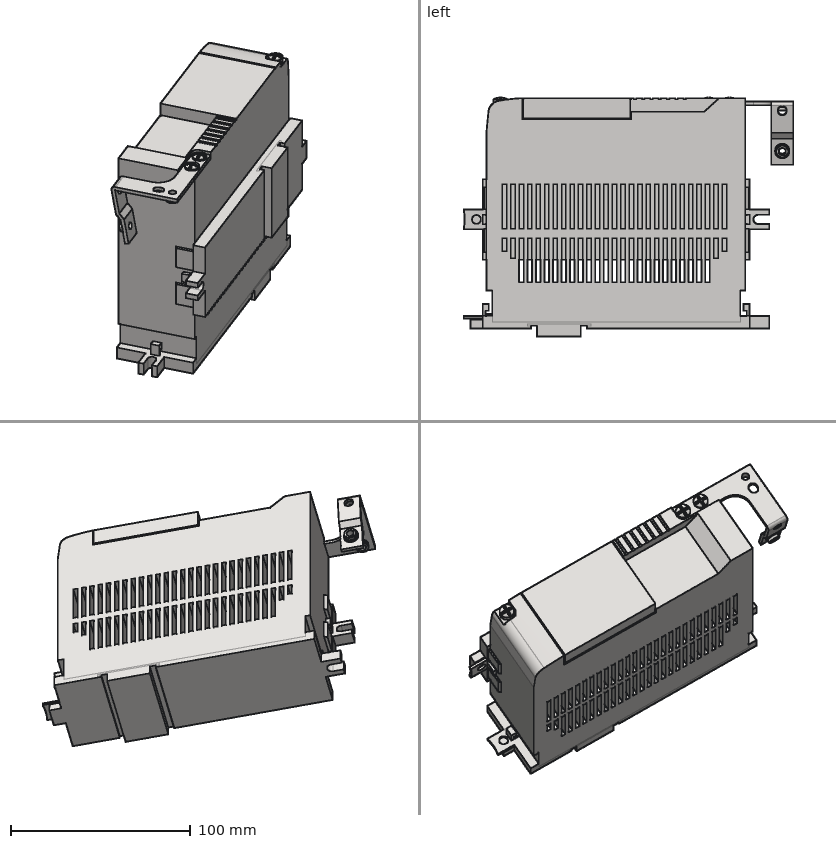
import cadquery as cq
import math


HOUSING_WIDTH = 45.5
HOUSING_TOP = 128.2
HOUSING_BOTTOM = 3.9
BACK_Y = 144.0
FOOT_TOP = 21.0
FOOT_FRONT_Y = 2.8
FOOT_BACK_Y = 140.7
BACK_TAPER_START_Z = 109.1
BACK_TAPER_END = (142.9, 120.3)
BACK_CORNER_MIDDLE = (141.0, 124.5)
CROWN_START = (137.2, 126.5)
CROWN_MIDDLE = (130.5, 127.6)

LID_BACK_Y = 124.0
LID_FRONT_Y = 64.0
LID_BOTTOM = 116.3
LID_GROOVE = 0.5
RECESS_WIDTH = 34.3
RECESS_FLOOR = 120.7
RECESS_FLOOR_FRONT_Y = 22.7
RECESS_RAMP_FRONT_Y = 14.5

GRIP_COUNT = 7
GRIP_WIDTH = 1.3
GRIP_DEPTH = 0.5
GRIP_BACK_Y = 62.0
GRIP_FRONT_Y = 34.3
GRIP_PITCH = (GRIP_BACK_Y - GRIP_FRONT_Y) / (GRIP_COUNT - 1)

VENT_COUNT = 27
VENT_WIDTH = 2.4
VENT_FRONT_Y = 11.5
VENT_BACK_Y = 133.9
VENT_PITCH = (VENT_BACK_Y - VENT_FRONT_Y) / (VENT_COUNT - 1)
UPPER_VENT_TOP = 80.1
UPPER_VENT_BOTTOM = 55.4
LOWER_VENT_TOP = 50.3
LOWER_VENT_BOTTOM = 25.9
END_VENT_BOTTOM = 43.1
NEXT_VENT_BOTTOM = 39.2

SCREW_DIAMETER = 8.0
SCREW_X = 40.5
SCREW_DOME = 1.3
SCREW_TOP = 128.5
SCREW_SLOT_WIDTH = 1.1
SCREW_SLOT_DEPTH = 1.1
REAR_SCREW_Y = 136.0
BRACKET_SCREW_YS = (20.4, 8.8)

SHEET = 2.2
PLATE_TOP = 126.4
PLATE_BOTTOM = PLATE_TOP - SHEET
STRIP_LEFT_X = 35.4
STRIP_BACK_Y = 25.0
SEAT_CORNER = 3.3
ARM_BACK_Y = -14.3
ARM_FRONT_Y = -26.8
ARM_CENTRE_Y = (ARM_BACK_Y + ARM_FRONT_Y) / 2
ARM_LEFT_X = 6.2
ARM_FILLET = 9.9
BEND_RADIUS = 2.2
LEG_TILT = 10.0
JOG_TILT = 41.0
JOG_TOP = 108.8
JOG_BOTTOM = 105.5
LEG_BOTTOM = 91.0
REAR_SEAT_FRONT_Y = 131.9
PLATE_HOLE_DIAMETER = 4.0
PLATE_HOLE_X = 40.3
PLATE_SLOT_X = 32.1
PLATE_SLOT_LENGTH = 6.0
PLATE_SLOT_WIDTH = 5.0
LEG_HOLE_DIAMETER = 5.0
LEG_HOLE_Z = 121.0
COLLAR_DIAMETER = 6.8
COLLAR_HEIGHT = 3.0
COLLAR_BASE_HEIGHT = 1.1
PLATE_COLLAR_NECK = 6.5
LEG_COLLAR_FLANGE = 8.0
LEG_COLLAR_Z = 98.9

MOUNT_DEPTH = 7.2
SIDE_MOUNT_WIDTH = 45.0
SIDE_MOUNT_CENTRE_Z = 60.7
MOUNT_FRONT_Y = -2.4
MOUNT_BACK_Y = 146.0
EAR_WIDTH = 11.2
EAR_FRONT_Y = -13.4
EAR_SLOT_WIDTH = 5.0
EAR_SLOT_END_Y = -4.5
TAB_BACK_Y = 156.6
TAB_HOLLOW = 0.5
TAB_THICKNESS = 1.7
TAB_HOLE_DIAMETER = 5.0
TAB_HOLE_Y = 149.5
STOP_BACK_Y = 152.8
STOP_GAP = 0.5
LATCH_WIDTH = 5.1
LATCH_HEIGHT = 6.6
LATCH_STEM = 1.7
LATCH_HEAD = 3.5
LATCH_HEAD_HEIGHT = 3.9
LEDGE_FRONT_Y = FOOT_BACK_Y
LEDGE_BACK_Y = 143.8
LEDGE_HEIGHT = 1.1

CLIP_CENTRE_Y = 103.6
CLIP_LENGTH = 24.4
CLIP_PROJECTION = 4.4
SIDE_CLIP_PROJECTION = 3.1
CLIP_OPENING = 31.0
CLIP_FLANGE_LENGTH = 35.4
CLIP_HEIGHT = 5.9
CLIP_FLANGE_THICKNESS = 1.3

HOOK_REACH = 11.4
HOOK_CHAMFER = 1.1
HOOK_SPANS = ((66.4, 78.7), (42.5, 55.4))
FRONT_HOOK_THICKNESS = 1.8
BACK_HOOK_THICKNESS = 1.1


def box(x_range, y_range, z_range):
    """Axis-aligned box between the given pairs of limits."""
    size = [high - low for low, high in (x_range, y_range, z_range)]
    corner = (x_range[0], y_range[0], z_range[0])
    return cq.Workplane("XY").box(*size, centered=False).translate(corner)


def housing_shell():
    """Side outline of the housing, extruded over its width."""
    outline = (
        cq.Workplane("YZ")
        .moveTo(FOOT_FRONT_Y, HOUSING_BOTTOM)
        .lineTo(FOOT_BACK_Y, HOUSING_BOTTOM)
        .lineTo(FOOT_BACK_Y, FOOT_TOP)
        .lineTo(BACK_Y, FOOT_TOP)
        .lineTo(BACK_Y, BACK_TAPER_START_Z)
        .lineTo(*BACK_TAPER_END)
        .threePointArc(BACK_CORNER_MIDDLE, CROWN_START)
        .threePointArc(CROWN_MIDDLE, (LID_BACK_Y, HOUSING_TOP))
        .lineTo(0, HOUSING_TOP)
        .lineTo(0, FOOT_TOP)
        .lineTo(FOOT_FRONT_Y, FOOT_TOP)
        .close()
    )
    return outline.extrude(HOUSING_WIDTH)


def lid_grooves():
    """Grooves around the lid: across the top behind and before it, and round it on the left face."""
    across = (0, HOUSING_WIDTH)
    on_top = (HOUSING_TOP - LID_GROOVE, HOUSING_TOP)
    on_side = (0, LID_GROOVE)
    behind = (LID_BACK_Y - LID_GROOVE, LID_BACK_Y)
    before = (LID_FRONT_Y - LID_GROOVE, LID_FRONT_Y)
    grooves = box(across, behind, on_top).union(box(across, before, on_top))
    for y_range in (behind, before):
        grooves = grooves.union(box(on_side, y_range, (LID_BOTTOM, HOUSING_TOP)))
    below = (LID_BOTTOM, LID_BOTTOM + LID_GROOVE)
    return grooves.union(box(on_side, (before[0], behind[1]), below))


def label_recess():
    """Recess in front of the lid, open to the left, with a ramp at its front end."""
    return (
        cq.Workplane("YZ")
        .moveTo(LID_FRONT_Y, HOUSING_TOP)
        .lineTo(LID_FRONT_Y, RECESS_FLOOR)
        .lineTo(RECESS_FLOOR_FRONT_Y, RECESS_FLOOR)
        .lineTo(RECESS_RAMP_FRONT_Y, HOUSING_TOP)
        .close()
        .extrude(RECESS_WIDTH)
    )


def grip_grooves():
    """Row of shallow grooves between the recess and the right face."""
    grooves = cq.Workplane("XY")
    for index in range(GRIP_COUNT):
        back = GRIP_BACK_Y - index * GRIP_PITCH
        groove = box(
            (RECESS_WIDTH, HOUSING_WIDTH),
            (back - GRIP_WIDTH, back),
            (HOUSING_TOP - GRIP_DEPTH, HOUSING_TOP),
        )
        grooves = grooves.add(groove)
    return grooves.combine()


def vent_slots():
    """Two rows of slots through the housing, the lower row shortened at both ends."""
    slots = cq.Workplane("XY")
    for index in range(VENT_COUNT):
        steps_from_end = min(index, VENT_COUNT - 1 - index)
        lower_bottom = {0: END_VENT_BOTTOM, 1: NEXT_VENT_BOTTOM}.get(steps_from_end, LOWER_VENT_BOTTOM)
        centre = VENT_FRONT_Y + index * VENT_PITCH
        y_range = (centre - VENT_WIDTH / 2, centre + VENT_WIDTH / 2)
        for z_range in ((UPPER_VENT_BOTTOM, UPPER_VENT_TOP), (lower_bottom, LOWER_VENT_TOP)):
            slots = slots.add(box((0, HOUSING_WIDTH), y_range, z_range))
    return slots.combine()


def bracket_seat():
    """Pocket in the top front edge that the bracket strip lies in."""
    seat = box((STRIP_LEFT_X, HOUSING_WIDTH), (0, STRIP_BACK_Y), (PLATE_BOTTOM, HOUSING_TOP))
    return seat.edges("|Z and <X and >Y").fillet(SEAT_CORNER)


def rear_screw_seat():
    """Flat seat for the rear screw, cut into the curved rear edge."""
    seat = box((STRIP_LEFT_X, HOUSING_WIDTH), (REAR_SEAT_FRONT_Y, BACK_Y), (PLATE_BOTTOM, HOUSING_TOP))
    return seat.edges("|Z and <X and <Y").fillet(SEAT_CORNER)


def latch(outer_y, inward):
    """Small hook standing on a mount; `inward` is the Y direction towards the housing."""
    return (
        cq.Workplane("YZ")
        .moveTo(outer_y, 0)
        .lineTo(outer_y, LATCH_HEIGHT)
        .lineTo(outer_y + inward * LATCH_HEAD, LATCH_HEIGHT)
        .lineTo(outer_y + inward * LATCH_HEAD, LATCH_HEIGHT - LATCH_HEAD_HEIGHT)
        .lineTo(outer_y + inward * LATCH_STEM, LATCH_HEIGHT - LATCH_HEAD_HEIGHT)
        .lineTo(outer_y + inward * LATCH_STEM, 0)
        .close()
        .extrude(LATCH_WIDTH / 2, both=True)
    )


def mount_ear():
    """Slotted ear in front of a mount."""
    ear = box((-EAR_WIDTH / 2, EAR_WIDTH / 2), (EAR_FRONT_Y, MOUNT_FRONT_Y), (-MOUNT_DEPTH, 0))
    radius = EAR_SLOT_WIDTH / 2
    slot_centre_y = EAR_SLOT_END_Y - radius
    slot = box((-radius, radius), (EAR_FRONT_Y, slot_centre_y), (-MOUNT_DEPTH, 0))
    slot_end = cq.Workplane("XY").center(0, slot_centre_y).circle(radius).extrude(-MOUNT_DEPTH)
    return ear.cut(slot).cut(slot_end)


def mount_tab():
    """Thin drilled tab behind a mount and the thicker stop beneath it."""
    half = EAR_WIDTH / 2
    tab = (
        cq.Workplane("XY")
        .moveTo(-half, MOUNT_BACK_Y)
        .lineTo(-half, TAB_BACK_Y)
        .threePointArc((0, TAB_BACK_Y - TAB_HOLLOW), (half, TAB_BACK_Y))
        .lineTo(half, MOUNT_BACK_Y)
        .close()
        .extrude(-TAB_THICKNESS)
    )
    hole = cq.Workplane("XY").center(0, TAB_HOLE_Y).circle(TAB_HOLE_DIAMETER / 2).extrude(-TAB_THICKNESS)
    stop_top = -TAB_THICKNESS - STOP_GAP
    stop = box((-half, half), (MOUNT_BACK_Y, STOP_BACK_Y), (-MOUNT_DEPTH, stop_top))
    return tab.cut(hole), stop


def along_clip(length):
    """Y limits of a length centred on the rail clip."""
    return (CLIP_CENTRE_Y - length / 2, CLIP_CENTRE_Y + length / 2)


def mount(width, clip_projection):
    """Rail mount centred on X, with its inner face at Z = 0 and its outer face below."""
    across = (-width / 2, width / 2)
    outer = -MOUNT_DEPTH
    clip_foot = outer - clip_projection
    flange_bottom = clip_foot + CLIP_HEIGHT
    flange_top = flange_bottom + CLIP_FLANGE_THICKNESS

    plate = box(across, (MOUNT_FRONT_Y, MOUNT_BACK_Y), (outer, 0))
    plate = plate.cut(box(across, along_clip(CLIP_OPENING), (outer, flange_bottom)))
    plate = plate.cut(box(across, along_clip(CLIP_FLANGE_LENGTH), (flange_bottom, flange_top)))
    flange = box(across, along_clip(CLIP_FLANGE_LENGTH), (flange_bottom, flange_top))
    clip = box(across, along_clip(CLIP_LENGTH), (clip_foot, flange_bottom))
    details = [mount_ear(), *mount_tab(), latch(MOUNT_FRONT_Y, 1), latch(MOUNT_BACK_Y, -1)]
    for detail in details:
        plate = plate.union(detail)
    return plate.union(flange.union(clip), clean=False)


def bottom_mount():
    """Mount under the housing, with a pocket for its foot and a small ledge behind it."""
    ledge = box((-LATCH_WIDTH / 2, LATCH_WIDTH / 2), (LEDGE_FRONT_Y, LEDGE_BACK_Y), (0, LEDGE_HEIGHT))
    body = mount(HOUSING_WIDTH, CLIP_PROJECTION).union(ledge, clean=False)
    body = body.translate((HOUSING_WIDTH / 2, 0, MOUNT_DEPTH))
    foot_pocket = box((0, HOUSING_WIDTH), (FOOT_FRONT_Y, FOOT_BACK_Y), (HOUSING_BOTTOM, MOUNT_DEPTH))
    return body.cut(foot_pocket, clean=False)


def side_mount():
    """The same mount turned onto the right face of the housing."""
    turned = mount(SIDE_MOUNT_WIDTH, SIDE_CLIP_PROJECTION).rotate((0, 0, 0), (0, 1, 0), -90)
    return turned.translate((HOUSING_WIDTH, 0, SIDE_MOUNT_CENTRE_Z))


def side_hook(face_y, outward, thickness, z_range):
    """Flat hook lying on the front or back face, with a bevelled tip."""
    tip_x = HOUSING_WIDTH - HOOK_REACH
    outer_y = face_y + outward * thickness
    return (
        cq.Workplane("XY", origin=(0, 0, z_range[0]))
        .moveTo(tip_x, face_y)
        .lineTo(HOUSING_WIDTH, face_y)
        .lineTo(HOUSING_WIDTH, outer_y)
        .lineTo(tip_x + HOOK_CHAMFER, outer_y)
        .close()
        .extrude(z_range[1] - z_range[0])
    )


def build_housing():
    """Housing with both rail mounts as one solid."""
    body = housing_shell()
    for pocket in (
        label_recess(),
        lid_grooves(),
        grip_grooves(),
        vent_slots(),
        bracket_seat(),
        rear_screw_seat(),
    ):
        body = body.cut(pocket)
    body = body.union(bottom_mount(), clean=False).union(side_mount(), clean=False)
    for z_range in HOOK_SPANS:
        body = body.union(side_hook(0, -1, FRONT_HOOK_THICKNESS, z_range), clean=False)
        body = body.union(side_hook(BACK_Y, 1, BACK_HOOK_THICKNESS, z_range), clean=False)
    return body


def bracket_plate():
    """L-shaped horizontal sheet: strip along the housing and arm in front of it."""
    bend_x = ARM_LEFT_X + BEND_RADIUS
    sheet = (
        cq.Workplane("XY", origin=(0, 0, PLATE_BOTTOM))
        .moveTo(bend_x, ARM_FRONT_Y)
        .lineTo(HOUSING_WIDTH, ARM_FRONT_Y)
        .lineTo(HOUSING_WIDTH, STRIP_BACK_Y)
        .lineTo(STRIP_LEFT_X, STRIP_BACK_Y)
        .lineTo(STRIP_LEFT_X, ARM_BACK_Y)
        .lineTo(bend_x, ARM_BACK_Y)
        .close()
        .extrude(SHEET)
    )
    middle_z = PLATE_BOTTOM + SHEET / 2
    strip_corner = cq.selectors.NearestToPointSelector((STRIP_LEFT_X, STRIP_BACK_Y, middle_z))
    arm_corner = cq.selectors.NearestToPointSelector((STRIP_LEFT_X, ARM_BACK_Y, middle_z))
    return sheet.edges(strip_corner).fillet(SEAT_CORNER).edges(arm_corner).fillet(ARM_FILLET)


def leg_outer_x(z):
    """X of the outer face of the leg at height z."""
    leg_slope = math.tan(math.radians(LEG_TILT))
    jog_slope = math.tan(math.radians(JOG_TILT))
    above_jog = PLATE_BOTTOM - max(z, JOG_TOP)
    in_jog = JOG_TOP - min(max(z, JOG_BOTTOM), JOG_TOP)
    below_jog = JOG_BOTTOM - min(z, JOG_BOTTOM)
    return ARM_LEFT_X + (above_jog + below_jog) * leg_slope + in_jog * jog_slope


def bracket_leg():
    """Bend and tilted leg, with a parallel jog halfway down."""
    tilt = math.radians(LEG_TILT)
    miter = math.radians((LEG_TILT + JOG_TILT) / 2)
    miter_length = SHEET / math.cos(math.radians((JOG_TILT - LEG_TILT) / 2))
    jog_shift = (miter_length * math.cos(miter), miter_length * math.sin(miter))
    end_shift = (SHEET * math.cos(tilt), SHEET * math.sin(tilt))

    jog_start = (leg_outer_x(JOG_TOP), JOG_TOP)
    jog_end = (leg_outer_x(JOG_BOTTOM), JOG_BOTTOM)
    tip = (leg_outer_x(LEG_BOTTOM), LEG_BOTTOM)
    bend_end = (ARM_LEFT_X, PLATE_BOTTOM)
    bend_start = (ARM_LEFT_X + BEND_RADIUS, PLATE_TOP)
    bend_middle = (
        ARM_LEFT_X + BEND_RADIUS * (1 - math.sqrt(0.5)),
        PLATE_BOTTOM + BEND_RADIUS * math.sqrt(0.5),
    )

    def shifted(point, shift):
        return (point[0] + shift[0], point[1] + shift[1])

    return (
        cq.Workplane("XZ", origin=(0, ARM_BACK_Y, 0))
        .moveTo(*bend_start)
        .threePointArc(bend_middle, bend_end)
        .lineTo(*jog_start)
        .lineTo(*jog_end)
        .lineTo(*tip)
        .lineTo(*shifted(tip, end_shift))
        .lineTo(*shifted(jog_end, jog_shift))
        .lineTo(*shifted(jog_start, jog_shift))
        .lineTo(bend_start[0], PLATE_BOTTOM)
        .close()
        .extrude(ARM_BACK_Y - ARM_FRONT_Y)
    )


def leg_plane(z):
    """Plane on the outer face of the leg at height z, facing away from the bracket."""
    tilt = math.radians(LEG_TILT)
    return cq.Plane(
        origin=(leg_outer_x(z), ARM_CENTRE_Y, z),
        xDir=(0, 1, 0),
        normal=(-math.cos(tilt), 0, -math.sin(tilt)),
    )


def collar(plane, base_diameter):
    """Round collar whose base differs in diameter from its end."""
    base = cq.Workplane(plane).circle(base_diameter / 2).extrude(COLLAR_BASE_HEIGHT)
    end = (
        cq.Workplane(plane)
        .workplane(offset=COLLAR_BASE_HEIGHT)
        .circle(COLLAR_DIAMETER / 2)
        .extrude(COLLAR_HEIGHT - COLLAR_BASE_HEIGHT)
    )
    return base.union(end)


def drill(plane, diameter):
    """Hole through the sheet and through any collar on it."""
    inner_end = -2 * SHEET
    start = cq.Workplane(plane).workplane(offset=inner_end)
    return start.circle(diameter / 2).extrude(COLLAR_HEIGHT - inner_end)


def build_bracket():
    """Sheet metal bracket with threaded collars."""
    under_plate = cq.Plane(
        origin=(PLATE_HOLE_X, ARM_CENTRE_Y, PLATE_BOTTOM), xDir=(1, 0, 0), normal=(0, 0, -1)
    )
    body = bracket_plate().union(bracket_leg())
    body = body.union(collar(under_plate, PLATE_COLLAR_NECK))
    body = body.union(collar(leg_plane(LEG_COLLAR_Z), LEG_COLLAR_FLANGE))
    body = body.cut(drill(under_plate, PLATE_HOLE_DIAMETER))
    body = body.cut(drill(leg_plane(LEG_COLLAR_Z), PLATE_HOLE_DIAMETER))
    body = body.cut(drill(leg_plane(LEG_HOLE_Z), LEG_HOLE_DIAMETER))
    slot = (
        cq.Workplane("XY", origin=(PLATE_SLOT_X, ARM_CENTRE_Y, PLATE_BOTTOM))
        .slot2D(PLATE_SLOT_LENGTH, PLATE_SLOT_WIDTH)
        .extrude(SHEET)
    )
    return body.cut(slot)


def build_screw(y, seat_z):
    """Domed screw head with a cross slot, standing on a seat."""
    radius = SCREW_DIAMETER / 2
    dome_base = SCREW_TOP - SCREW_DOME
    sphere_radius = (radius**2 + SCREW_DOME**2) / (2 * SCREW_DOME)
    half_angle = math.asin(radius / sphere_radius) / 2
    dome_middle = (
        sphere_radius * math.sin(half_angle),
        SCREW_TOP - sphere_radius * (1 - math.cos(half_angle)),
    )
    head = (
        cq.Workplane("XZ")
        .moveTo(0, seat_z)
        .lineTo(radius, seat_z)
        .lineTo(radius, dome_base)
        .threePointArc(dome_middle, (0, SCREW_TOP))
        .close()
        .revolve(360, (0, 0, 0), (0, 1, 0))
    )
    half_slot = SCREW_SLOT_WIDTH / 2
    slot_z = (SCREW_TOP - SCREW_SLOT_DEPTH, SCREW_TOP)
    head = head.cut(box((-radius, radius), (-half_slot, half_slot), slot_z))
    head = head.cut(box((-half_slot, half_slot), (-radius, radius), slot_z))
    return head.translate((SCREW_X, y, 0))


housing = build_housing()
bracket = build_bracket()
screws = [build_screw(REAR_SCREW_Y, PLATE_BOTTOM)]
for screw_y in BRACKET_SCREW_YS:
    screws.append(build_screw(screw_y, PLATE_TOP))

result = cq.Compound.makeCompound([housing.val(), bracket.val(), *[screw.val() for screw in screws]])